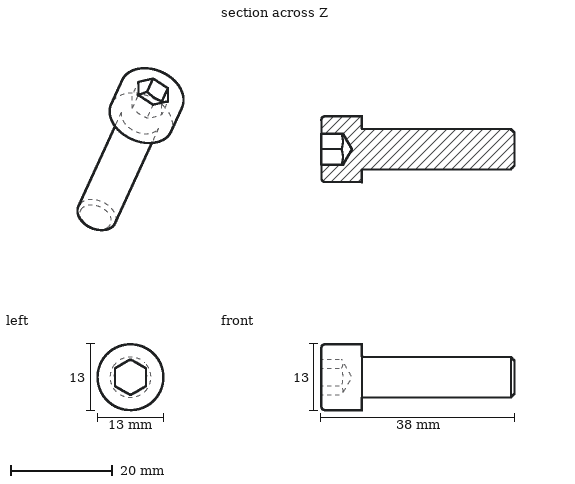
import cadquery as cq
import math

total_length = 38.0
head_diameter = 13.0
head_height = 7.98
head_edge_radius = 0.75
shank_diameter = 7.98
tip_chamfer = 0.75
neck_fillet_radius = 0.2

socket_across_flats = 6.08
socket_depth = 4.0
socket_cone_angle = 120.0

socket_across_corners = socket_across_flats / math.cos(math.radians(30))
cone_radius = socket_across_corners / 2
cone_depth = cone_radius / math.tan(math.radians(socket_cone_angle / 2))


def make_head():
    head = cq.Workplane("YZ").circle(head_diameter / 2).extrude(head_height)
    return head.faces("<X").edges().fillet(head_edge_radius)


def make_shank():
    shank = (
        cq.Workplane("YZ", origin=(head_height, 0, 0))
        .circle(shank_diameter / 2)
        .extrude(total_length - head_height)
    )
    return shank.faces(">X").edges().chamfer(tip_chamfer)


def add_neck_fillet(screw):
    underside = cq.selectors.BoxSelector(
        (head_height - neck_fillet_radius, -shank_diameter, -shank_diameter),
        (head_height + neck_fillet_radius, shank_diameter, shank_diameter),
    )
    neck_edge = screw.edges(underside).edges(cq.selectors.RadiusNthSelector(0))
    return neck_edge.fillet(neck_fillet_radius)


def make_socket():
    hexagon = (
        cq.Workplane("YZ")
        .transformed(rotate=(0, 0, 90))
        .polygon(6, socket_across_corners)
        .extrude(socket_depth + cone_depth)
    )
    drill = cq.Workplane("YZ").circle(cone_radius).extrude(socket_depth)
    tip = cq.Solid.makeCone(
        cone_radius, 0, cone_depth, cq.Vector(socket_depth, 0, 0), cq.Vector(1, 0, 0)
    )
    return hexagon.intersect(drill.union(cq.Workplane(tip)))


screw = add_neck_fillet(make_head().union(make_shank()))
result = screw.cut(make_socket())